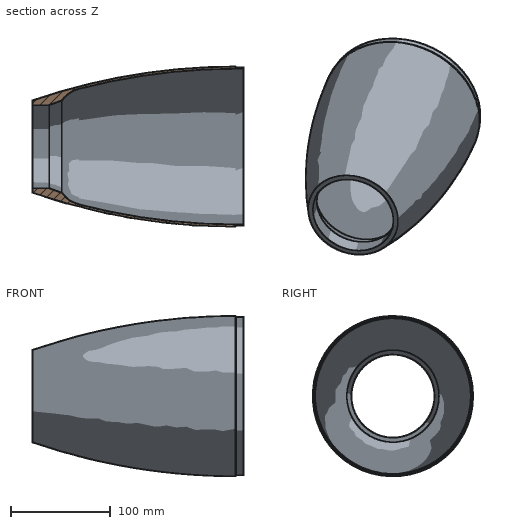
import cadquery as cq
import math

length = 212.0
collar_length = 8.3
nose_radius = 46.5
rim_radius = 80.5
collar_radius = 79.5
step_bevel = 0.6
wall = 2.5

bore_radius = 41.5
bore_depth = 16.7
taper_end = 29.7
taper_radius = 46.2
shell_start = 46.6

body_length = length - collar_length
body_rise = rim_radius - nose_radius
arc_radius = (body_length**2 + body_rise**2) / (2 * body_rise)
arc_center_radius = rim_radius - arc_radius


def arc_point(x, offset=0.0):
    """Point on the outer arc at x, moved inward by offset."""
    height = math.sqrt((arc_radius - offset)**2 - (body_length - x)**2)
    return (x, arc_center_radius + height)


profile = (
    cq.Workplane("XY")
    .moveTo(0, bore_radius)
    .lineTo(0, nose_radius)
    .threePointArc(arc_point(body_length / 2), (body_length, rim_radius))
    .lineTo(body_length + step_bevel, collar_radius)
    .lineTo(length, collar_radius)
    .lineTo(length, rim_radius - wall)
    .lineTo(body_length, rim_radius - wall)
    .threePointArc(
        arc_point((body_length + shell_start) / 2, wall),
        arc_point(shell_start, wall),
    )
    .tangentArcPoint((taper_end, taper_radius), relative=False)
    .lineTo(bore_depth, bore_radius)
    .close()
)

result = profile.revolve(360, (0, 0, 0), (1, 0, 0))